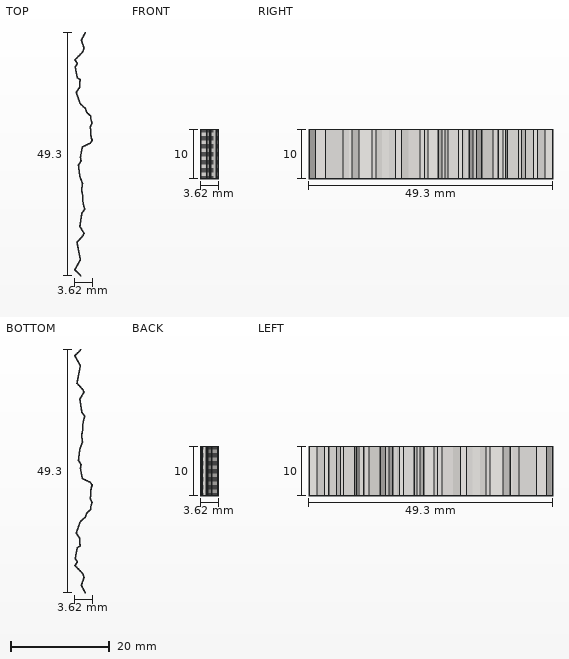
import cadquery as cq
import math

length = 49.3
height = 10.0
thickness = 0.1

centreline = [
    (0.45, 24.75),
    (-0.45, 23.05),
    (0.1, 21.5),
    (-0.15, 20.7),
    (-1.72, 19.05),
    (-1.25, 18.3),
    (-1.7, 17.7),
    (-1.3, 15.45),
    (-0.65, 15.05),
    (-0.8, 14.6),
    (-0.75, 13.6),
    (-1.5, 12.5),
    (-0.7, 10.25),
    (0.4, 9.2),
    (0.65, 8.5),
    (1.45, 7.75),
    (1.55, 6.85),
    (1.72, 6.35),
    (1.4, 5.55),
    (1.55, 3.4),
    (1.75, 2.8),
    (1.35, 2.2),
    (-0.25, 1.5),
    (-0.65, -0.6),
    (-0.5, -1.35),
    (-1.05, -2.2),
    (-0.75, -4.5),
    (-0.2, -5.95),
    (-0.4, -7.2),
    (-0.15, -8.5),
    (-0.1, -9.9),
    (0.25, -11.15),
    (-0.35, -11.95),
    (-0.75, -14.6),
    (0.1, -16.0),
    (-0.15, -16.5),
    (-1.35, -17.8),
    (-0.95, -19.8),
    (-0.65, -21.35),
    (-1.75, -23.35),
    (-0.7, -24.4),
    (-0.5, -24.75),
]


def segment_normal(start, end):
    """Unit normal pointing to the left of the segment."""
    dx = end[0] - start[0]
    dy = end[1] - start[1]
    span = math.hypot(dx, dy)
    return (-dy / span, dx / span)


def offset_path(points, distance):
    """Shift an open path sideways, keeping its bends as sharp corners."""
    normals = [segment_normal(a, b) for a, b in zip(points, points[1:])]
    before = [normals[0]] + normals
    after = normals + [normals[-1]]
    shifted = []
    for (x, y), (ax, ay), (bx, by) in zip(points, before, after):
        reach = distance / (1 + ax * bx + ay * by)
        shifted.append((x + reach * (ax + bx), y + reach * (ay + by)))
    return shifted


left_face = offset_path(centreline, thickness / 2)
right_face = offset_path(centreline, -thickness / 2)
outline = left_face + right_face[::-1]

strip = cq.Workplane("XY").polyline(outline).close().extrude(height / 2, both=True)

trim_width = 9.85
trim_block = cq.Workplane("XY").box(trim_width, length, height)
result = strip.intersect(trim_block)